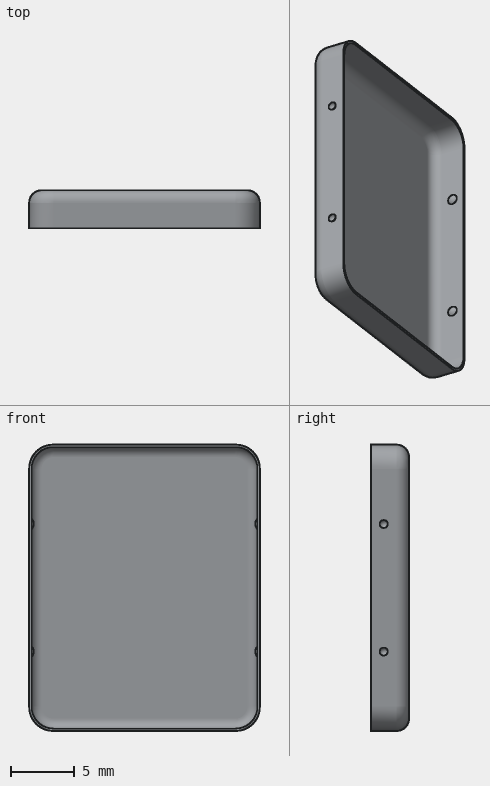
import cadquery as cq
import math

width = 18.1
depth = 3.0
height = 22.45
wall = 0.2
corner_radius = 1.9
edge_radius = 1.0
cavity_edge_radius = 0.79

dimple_radius = 0.31
bump_radius = 0.4
bump_rise = 0.18
dimple_depth = 0.27
dimple_spacing = 10.0
dimple_setback = 1.0

rim_y = -depth / 2


def rounded_block(inset, back_edge_radius):
    """Tray-shaped solid with every outer face, except the rim, moved in by inset."""
    return (
        cq.Workplane("XZ", origin=(0, rim_y, 0))
        .rect(width - 2 * inset, height - 2 * inset)
        .extrude(-(depth - inset))
        .edges("|Y")
        .fillet(corner_radius - inset)
        .faces(">Y")
        .edges()
        .fillet(back_edge_radius)
    )


def dome(side, z, face_x, base_radius, rise):
    """Spherical cap rising inwards from its flat base, which lies at distance face_x from the middle."""
    ball_radius = (base_radius**2 + rise**2) / (2 * rise)
    mid_drop = ball_radius - rise
    half_angle = math.atan2(base_radius, mid_drop) / 2
    arc_middle = (
        ball_radius * math.sin(half_angle),
        ball_radius * math.cos(half_angle) - mid_drop,
    )
    return (
        cq.Workplane(cq.Plane(
            origin=(side * face_x, rim_y + dimple_setback, z),
            xDir=(0, 0, 1),
            normal=(0, -side, 0),
        ))
        .lineTo(base_radius, 0)
        .threePointArc(arc_middle, (0, rise))
        .close()
        .revolve(360, (0, 0), (0, 1))
    )


outer = rounded_block(0, edge_radius)
cavity = rounded_block(wall, cavity_edge_radius)
result = outer.cut(cavity)

for side in (-1, 1):
    for z in (-dimple_spacing / 2, dimple_spacing / 2):
        bump = dome(side, z, width / 2 - wall, bump_radius, bump_rise)
        dimple = dome(side, z, width / 2, dimple_radius, dimple_depth)
        result = result.union(bump).cut(dimple)